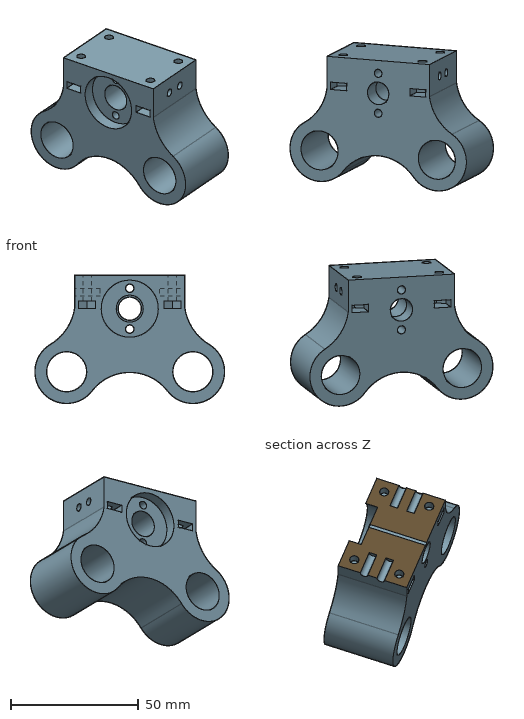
import math

import cadquery as cq

thickness = 28.9
front_y = -thickness / 2
block_width = 43.3
block_top_z = 13.16

rod_x = 24.75
rod_z = -24.75
lobe_radius = 12.5
rod_bore_diameter = 15.6

side_arc_radius = 20.0
side_arc_start_z = 0.3
arch_top_z = -25.05

flange_diameter = 22.4
flange_depth = 5.0
nut_body_diameter = 10.6
nut_body_depth = 20.0
screw_bore_diameter = 9.0
flange_bolt_diameter = 3.2
flange_bolt_offset = 8.0

top_bolt_diameter = 3.4
top_bolt_x = 16.7
top_bolt_y = 9.43
hex_across_flats = 6.7
hex_slot_height = 2.95
hex_slot_top_z = 2.95
top_bolt_depth = block_top_z - hex_slot_top_z + hex_slot_height

flank_hole_diameter = 3.0
flank_hole_y = 3.5
flank_hole_z = 6.5
flank_hole_depth = 10.0


def toward(start, end, distance):
    """Return the point at a distance from start on the line to end."""
    length = math.dist(start, end)
    return tuple(a + (b - a) * distance / length for a, b in zip(start, end))


def mirrored(point):
    """Return the point reflected to the other side of the YZ plane."""
    return (-point[0], point[1])


def circle_meeting(first, first_radius, second, second_radius):
    """Return the intersection of two circles that lies left of the line from first to second."""
    distance = math.dist(first, second)
    along = (distance**2 + first_radius**2 - second_radius**2) / (2 * distance)
    across = math.sqrt(first_radius**2 - along**2)
    dx = (second[0] - first[0]) / distance
    dz = (second[1] - first[1]) / distance
    return (first[0] + along * dx - across * dz, first[1] + along * dz + across * dx)


def y_cylinder(x, z, diameter, start_y, length):
    """Return a cylinder that runs along +Y from start_y."""
    start = cq.Vector(x, start_y, z)
    return cq.Workplane(cq.Solid.makeCylinder(diameter / 2, length, start, cq.Vector(0, 1, 0)))


def make_body():
    """Extrude the outline: a block, two lobes and the concave arcs tangent to the lobes."""
    lobe = (rod_x, rod_z)
    block_corner = (block_width / 2, block_top_z)
    side_start = (block_width / 2, side_arc_start_z)

    side_center = circle_meeting(side_start, side_arc_radius, lobe, lobe_radius + side_arc_radius)
    side_end = toward(lobe, side_center, lobe_radius)
    side_chord_middle = tuple((a + b) / 2 for a, b in zip(side_start, side_end))
    side_middle = toward(side_center, side_chord_middle, side_arc_radius)

    drop = rod_z - arch_top_z
    arch_radius = (rod_x**2 + drop**2 - lobe_radius**2) / (2 * (lobe_radius - drop))
    arch_center = (0, arch_top_z - arch_radius)
    arch_end = toward(lobe, arch_center, lobe_radius)
    lobe_outer = (rod_x + lobe_radius, rod_z)

    outline = (
        cq.Workplane("XZ", origin=(0, -front_y, 0))
        .moveTo(*mirrored(block_corner))
        .lineTo(*block_corner)
        .lineTo(*side_start)
        .threePointArc(side_middle, side_end)
        .threePointArc(lobe_outer, arch_end)
        .threePointArc((0, arch_top_z), mirrored(arch_end))
        .threePointArc(mirrored(lobe_outer), mirrored(side_end))
        .threePointArc(mirrored(side_middle), mirrored(side_start))
        .close()
    )
    return outline.extrude(thickness)


def cut_rod_bores(part):
    """Bore both lobes right through."""
    for x in (-rod_x, rod_x):
        part = part.cut(y_cylinder(x, rod_z, rod_bore_diameter, front_y, thickness))
    return part


def cut_nut_seat(part):
    """Cut the stepped bore, narrowing toward +Y, and the two flange bolt holes."""
    part = part.cut(y_cylinder(0, 0, flange_diameter, front_y, flange_depth))
    part = part.cut(y_cylinder(0, 0, nut_body_diameter, front_y, nut_body_depth))
    part = part.cut(y_cylinder(0, 0, screw_bore_diameter, front_y, thickness))
    for z in (-flange_bolt_offset, flange_bolt_offset):
        part = part.cut(y_cylinder(0, z, flange_bolt_diameter, front_y, thickness))
    return part


def cut_top_bolts(part):
    """Drill the top bolt holes and cut a hexagon-ended nut slot to each from the nearer face."""
    half_flats = hex_across_flats / 2
    corner_radius = hex_across_flats / math.sqrt(3)
    for x in (-top_bolt_x, top_bolt_x):
        for side in (-1, 1):
            bolt_y = side * top_bolt_y
            bolt = (
                cq.Workplane("XY", origin=(x, bolt_y, block_top_z))
                .circle(top_bolt_diameter / 2)
                .extrude(-top_bolt_depth)
            )
            mouth_y = side * thickness / 2
            shoulder_y = bolt_y - side * corner_radius / 2
            slot = (
                cq.Workplane("XY", origin=(0, 0, hex_slot_top_z))
                .moveTo(x - half_flats, mouth_y)
                .lineTo(x - half_flats, shoulder_y)
                .lineTo(x, bolt_y - side * corner_radius)
                .lineTo(x + half_flats, shoulder_y)
                .lineTo(x + half_flats, mouth_y)
                .close()
                .extrude(-hex_slot_height)
            )
            part = part.cut(bolt).cut(slot)
    return part


def cut_flank_holes(part):
    """Drill the blind holes into both vertical flanks."""
    for side in (-1, 1):
        for y in (-flank_hole_y, flank_hole_y):
            hole = (
                cq.Workplane("YZ", origin=(side * block_width / 2, y, flank_hole_z))
                .circle(flank_hole_diameter / 2)
                .extrude(-side * flank_hole_depth)
            )
            part = part.cut(hole)
    return part


result = cut_flank_holes(cut_top_bolts(cut_nut_seat(cut_rod_bores(make_body()))))